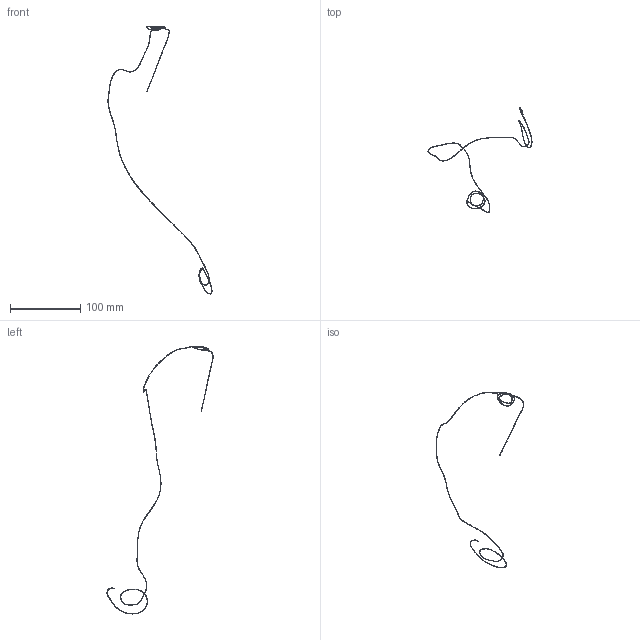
import cadquery as cq

WIRE_DIAMETER = 0.36
SWEEP_PIECES = 20

TAIL_END = (-18.5, -58.5, 97.0)
HOOK_START = (11.0, -75.2, 172.5)
TAIL_FRACTIONS = (0.0, 0.5, 0.9, 1.0)

HOOK = [
    (13.0, -73.5, 181.0),
    (12.5, -61.0, 184.5),
    (3.5, -49.0, 187.5),
]

UPPER_OUTER_LOOP = [
    (-6.5, -44.5, 190.0),
    (-13.5, -48.0, 190.0),
    (-17.5, -55.5, 190.0),
    (-18.5, -62.0, 188.5),
    (-13.5, -68.0, 185.0),
    (-3.5, -69.0, 185.5),
    (3.5, -65.5, 187.5),
    (7.0, -58.5, 188.0),
]

UPPER_INNER_LOOP = [
    (4.0, -52.0, 190.0),
    (-6.0, -47.5, 188.0),
    (-12.0, -50.5, 189.0),
    (-14.0, -57.0, 188.5),
    (-11.0, -63.5, 187.0),
    (-2.5, -65.0, 184.5),
    (3.0, -61.5, 187.5),
    (5.0, -55.0, 188.0),
    (4.0, -48.0, 189.5),
]

LONG_RUN = [
    (-1.5, -40.0, 188.0),
    (-11.0, -24.5, 185.0),
    (-14.5, -5.5, 172.5),
    (-16.5, 5.0, 162.5),
    (-26.0, 18.5, 142.0),
    (-33.5, 23.5, 129.0),
    (-42.5, 23.5, 125.0),
    (-57.0, 20.5, 128.5),
    (-66.0, 18.5, 121.0),
    (-72.0, 15.0, 99.5),
    (-73.7, 12.0, 82.0),
    (-65.0, 6.0, 49.5),
    (-61.0, 4.0, 26.0),
    (-56.0, -0.5, 5.0),
    (-45.0, 0.5, -18.5),
    (-29.0, 12.5, -41.5),
    (-11.5, 25.5, -61.0),
    (6.0, 31.0, -79.0),
    (32.0, 32.0, -104.5),
    (48.5, 31.0, -123.5),
    (62.0, 19.0, -148.5),
]

LOWER_INNER_LOOP = [
    (69.5, 25.5, -168.0),
    (68.0, 31.5, -175.5),
    (64.0, 42.5, -177.5),
    (58.5, 52.0, -175.0),
    (55.5, 55.5, -163.5),
    (58.0, 48.5, -157.5),
    (63.5, 25.0, -159.0),
]

LOWER_OUTER_SWEEP = [
    (70.0, 18.0, -172.5),
    (73.7, 26.5, -187.0),
    (70.0, 42.0, -190.0),
    (61.5, 62.0, -181.0),
    (57.0, 71.5, -168.5),
    (56.0, 75.2, -159.5),
    (57.5, 73.5, -156.0),
    (61.0, 64.5, -154.5),
]


def straight_tail(start, end, fractions):
    """Points on the straight line from start to end at the given fractions of its length."""
    return [
        tuple(a + (b - a) * fraction for a, b in zip(start, end))
        for fraction in fractions
    ]


def wire_centreline():
    """One smooth curve through every stretch, in order from the tail to the lower end."""
    points = (
        straight_tail(TAIL_END, HOOK_START, TAIL_FRACTIONS)
        + HOOK
        + UPPER_OUTER_LOOP
        + UPPER_INNER_LOOP
        + LONG_RUN
        + LOWER_INNER_LOOP
        + LOWER_OUTER_SWEEP
    )
    return cq.Edge.makeSpline([cq.Vector(*point) for point in points])


def split_curve(curve, piece_count):
    """Path made of the same curve, cut end to end into pieces of equal parameter span."""
    _, parameter_end = curve._bounds()
    step = parameter_end / piece_count
    pieces = [curve.trim(i * step, (i + 1) * step) for i in range(piece_count)]
    return cq.Wire.assembleEdges(pieces)


def round_wire(centreline):
    """Sweep the round section along the centreline, starting square to it at the tail end."""
    section_plane = cq.Plane(origin=centreline.positionAt(0), normal=centreline.tangentAt(0))
    section = cq.Workplane(section_plane).circle(WIRE_DIAMETER / 2)
    return section.sweep(cq.Workplane(split_curve(centreline, SWEEP_PIECES)))


result = round_wire(wire_centreline())